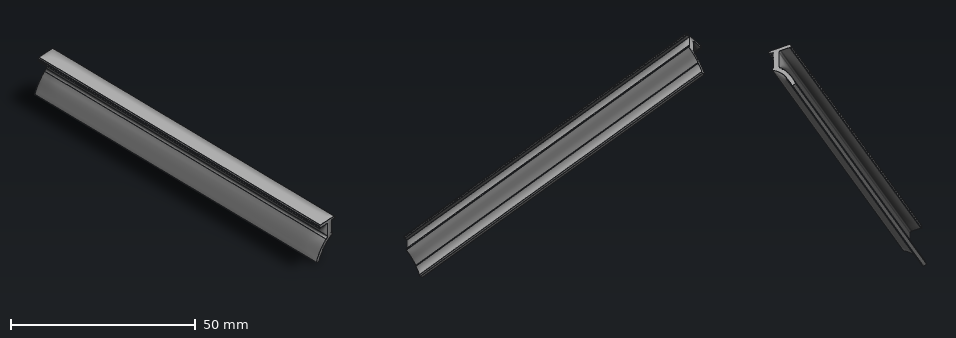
import cadquery as cq

length = 100.0
depth = 7.8
height = 13.4

web_front = 4.8
web_thickness = 1.7
web_back = web_front + web_thickness
web_bottom = 6.9

cap_front = 1.4
cap_front_bottom = 12.3
cap_round = 0.3
cap_back_top = 12.5
cap_root_bottom = 11.9
cap_back_bottom = 11.7
root_round = 0.5

hook_bottom = 11.4
hook_width = 0.5

ridge_back = 6.8
ridge_bottom = 6.2

lip_outer_top = (4.1, 6.3)
foot_round_middle = (4.6, 6.6)
lip_outer_middle = (1.6, 3.6)
lip_tip = (0.0, 0.5)
lip_lowest = (0.9, 0.0)
lip_inner_bottom = (1.3, 0.3)
lip_inner_middle = (1.9, 1.7)
step_bottom = (2.8, 2.8)
step_top = (2.8, 3.2)
lip_inner_bend = (4.7, 5.1)


def strip_section():
    """Return the closed section in the YZ plane."""
    front_web = (
        cq.Workplane("YZ")
        .moveTo(web_front, web_bottom)
        .lineTo(web_front, cap_root_bottom - root_round)
        .tangentArcPoint((web_front - root_round, cap_root_bottom), relative=False)
    )
    cap = (
        front_web
        .lineTo(cap_front + cap_round, cap_front_bottom)
        .lineTo(cap_front, cap_front_bottom - cap_round / 2)
        .lineTo(cap_front, height - cap_round)
        .lineTo(cap_front + cap_round, height)
        .lineTo(depth - cap_round, cap_back_top)
        .lineTo(depth, cap_back_top - cap_round)
        .lineTo(depth, cap_back_bottom)
        .lineTo(depth - hook_width / 2, hook_bottom)
        .lineTo(depth - hook_width, cap_back_bottom)
        .lineTo(web_back, cap_back_bottom)
    )
    ridge = (
        cap
        .lineTo(web_back, web_bottom)
        .lineTo(ridge_back, web_bottom)
        .lineTo(ridge_back, ridge_bottom)
    )
    lip = (
        ridge
        .threePointArc(lip_inner_bend, step_top)
        .lineTo(*step_bottom)
        .threePointArc(lip_inner_middle, lip_inner_bottom)
        .lineTo(*lip_lowest)
        .lineTo(*lip_tip)
        .threePointArc(lip_outer_middle, lip_outer_top)
        .threePointArc(foot_round_middle, (web_front, web_bottom))
    )
    return lip.close()


result = strip_section().extrude(length)